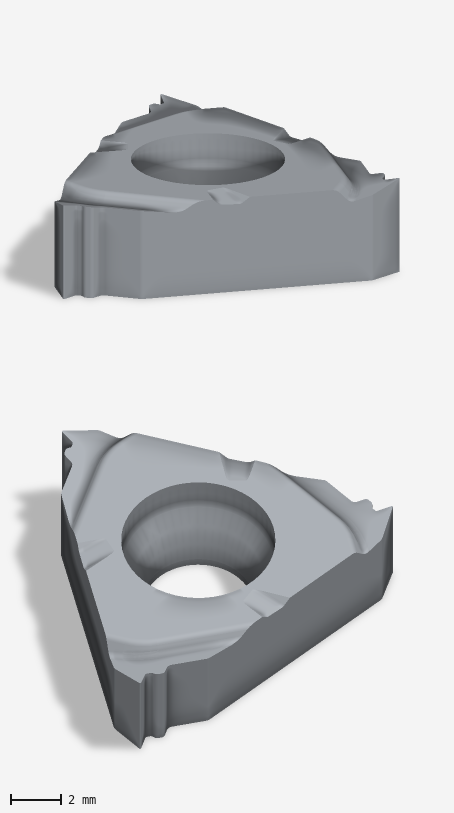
import cadquery as cq
import math

CORNERS = 3
inscribed_radius = 4.75
thickness = 3.97

thread_half_angle = 30.0
tip_x = -3.97
tip_y = -6.95
valley_y = -6.35
crest_y = -6.51
land_y = -6.05
valley_width = 0.24
crest_width = 0.32
crest_ramp_angle = 45.0
tip_radius = 0.04
valley_radius = 0.1
crest_radius = 0.18
land_root_radius = 0.25
flank_blend_radius = 0.28

bore_radius = 4.4 / 2
head_radius = 3.08
head_depth = 1.06
head_corner_radius = 0.5
seat_radius = 3.66

rake_angle = 15.0
rake_zero_y = -6.92
wall_angle = 50.0
wall_top_y = -4.72
wall_top_radius = 0.35
wall_root_radius = 0.3
bend_start_x = -2.82
bend_inner_radius = 2.3
bend_angle = 30.0
breaker_reach = 4.15
tail_length = 1.66
breaker_depth = 1.1
breaker_overrun = 0.28

notch_floor_width = 0.64
notch_slope = 11.0
notch_turn = 15.0
notch_wall_angle = 52.0
notch_inner_x = -3.5
notch_inner_y = 0.55
notch_root_radius = 0.28
notch_length = 2.77
notch_height = 0.83


def tan(angle):
    return math.tan(math.radians(angle))


def sin(angle):
    return math.sin(math.radians(angle))


def cos(angle):
    return math.cos(math.radians(angle))


def turned(point, index):
    """Point moved to the corner with the given index."""
    angle = index * 360 / CORNERS
    x, y = point
    return (x * cos(angle) - y * sin(angle), x * sin(angle) + y * cos(angle))


def corner_points():
    """Sharp outline points of one corner, each with its rounding radius."""
    lean = tan(thread_half_angle)
    left_x = -inscribed_radius
    valley_x = tip_x + (valley_y - tip_y) * lean
    crest_x = valley_x + valley_width + (valley_y - crest_y) / tan(crest_ramp_angle)
    land_x = crest_x + crest_width + (land_y - crest_y) * lean
    flank_facing = 180 / CORNERS
    next_flank_x = (inscribed_radius + land_y * sin(flank_facing)) / cos(flank_facing)
    return [
        ((left_x, tip_y + (tip_x - left_x) / lean), flank_blend_radius),
        ((tip_x, tip_y), tip_radius),
        ((valley_x, valley_y), valley_radius),
        ((valley_x + valley_width, valley_y), valley_radius),
        ((crest_x, crest_y), crest_radius),
        ((crest_x + crest_width, crest_y), crest_radius),
        ((land_x, land_y), land_root_radius),
        ((next_flank_x, land_y), flank_blend_radius),
    ]


def make_blank():
    corner = corner_points()
    outline = [turned(point, i) for i in range(CORNERS) for point, _ in corner]
    blank = cq.Workplane("XY").polyline(outline).close().extrude(thickness)
    for i in range(CORNERS):
        for point, radius in corner:
            x, y = turned(point, i)
            edge = cq.selectors.NearestToPointSelector((x, y, thickness / 2))
            blank = blank.edges("|Z").edges(edge).fillet(radius)
    return blank


def make_screw_hole():
    """Straight head recess, then a convex seat running tangent into the bore."""
    seat_angle = math.degrees(
        math.acos(1 - (head_radius - bore_radius) / (seat_radius + head_corner_radius))
    )
    wall_end_z = thickness - head_depth
    corner_x = head_radius - head_corner_radius
    seat_start = (
        corner_x + head_corner_radius * cos(seat_angle),
        wall_end_z - head_corner_radius * sin(seat_angle),
    )
    corner_middle = (
        corner_x + head_corner_radius * cos(seat_angle / 2),
        wall_end_z - head_corner_radius * sin(seat_angle / 2),
    )
    seat_center_x = bore_radius + seat_radius
    seat_end_z = seat_start[1] - seat_radius * sin(seat_angle)
    seat_middle = (
        seat_center_x - seat_radius * cos(seat_angle / 2),
        seat_end_z + seat_radius * sin(seat_angle / 2),
    )
    return (
        cq.Workplane("XZ")
        .lineTo(0, thickness)
        .lineTo(head_radius, thickness)
        .lineTo(head_radius, wall_end_z)
        .threePointArc(corner_middle, seat_start)
        .threePointArc(seat_middle, (bore_radius, seat_end_z))
        .lineTo(bore_radius, 0)
        .close()
        .revolve(360, (0, 0), (0, 1))
    )


def wall_section(plane):
    """Space outside the breaker wall; local X is the distance outward from the wall top."""
    round_end_x = wall_top_radius * sin(wall_angle)
    round_end_z = -wall_top_radius * (1 - cos(wall_angle))
    round_middle = (
        wall_top_radius * sin(wall_angle / 2),
        -wall_top_radius * (1 - cos(wall_angle / 2)),
    )
    wall_end_x = round_end_x + (breaker_depth + round_end_z) / tan(wall_angle)
    return (
        cq.Workplane(plane)
        .moveTo(0, breaker_overrun)
        .lineTo(0, 0)
        .threePointArc(round_middle, (round_end_x, round_end_z))
        .lineTo(wall_end_x, -breaker_depth)
        .lineTo(breaker_reach, -breaker_depth)
        .lineTo(breaker_reach, breaker_overrun)
        .close()
    )


def make_chip_breaker():
    bend_y = wall_top_y + bend_inner_radius
    bend_plane = cq.Plane((bend_start_x, wall_top_y, thickness), (0, -1, 0), (-1, 0, 0))
    straight = wall_section(bend_plane).extrude(-2 * breaker_reach)
    bend = wall_section(bend_plane).revolve(
        bend_angle, (-bend_inner_radius, 0), (-bend_inner_radius, -1)
    )
    tail = (
        wall_section(bend_plane)
        .extrude(tail_length)
        .rotate((bend_start_x, bend_y, 0), (bend_start_x, bend_y, 1), -bend_angle)
    )
    outside_wall = straight.union(bend).union(tail)

    rake_top_y = rake_zero_y - breaker_overrun / tan(rake_angle)
    rake_end_z = thickness - breaker_depth
    rake_end_y = rake_zero_y + breaker_depth / tan(rake_angle)
    above_rake = (
        cq.Workplane("YZ")
        .moveTo(rake_top_y, thickness + breaker_overrun)
        .lineTo(rake_end_y, rake_end_z)
        .lineTo(rake_end_y, thickness + breaker_overrun)
        .close()
        .extrude(2 * breaker_reach, both=True)
    )
    rake_normal = cq.Vector(0, sin(rake_angle), cos(rake_angle))
    return (
        outside_wall.intersect(above_rake)
        .faces(cq.selectors.ParallelDirSelector(rake_normal))
        .edges("|X")
        .edges(">Y")
        .fillet(wall_root_radius)
    )


def make_notch():
    """Flared channel whose floor starts at the top face and falls towards the flank."""
    half = notch_floor_width / 2 + notch_root_radius * tan((90 - notch_wall_angle) / 2)
    flare = notch_height * tan(notch_wall_angle)
    return (
        cq.Workplane("YZ")
        .moveTo(-half, 0)
        .lineTo(half, 0)
        .lineTo(half + flare, notch_height)
        .lineTo(-half - flare, notch_height)
        .close()
        .extrude(notch_length, both=True)
        .edges("|X")
        .edges("<Z")
        .fillet(notch_root_radius)
        .rotate((0, 0, 0), (0, 1, 0), -notch_slope)
        .rotate((0, 0, 0), (0, 0, 1), notch_turn)
        .translate((notch_inner_x, notch_inner_y, thickness))
    )


result = make_blank().cut(make_screw_hole())
for tool in (make_chip_breaker(), make_notch()):
    for i in range(CORNERS):
        result = result.cut(tool.rotate((0, 0, 0), (0, 0, 1), i * 360 / CORNERS))